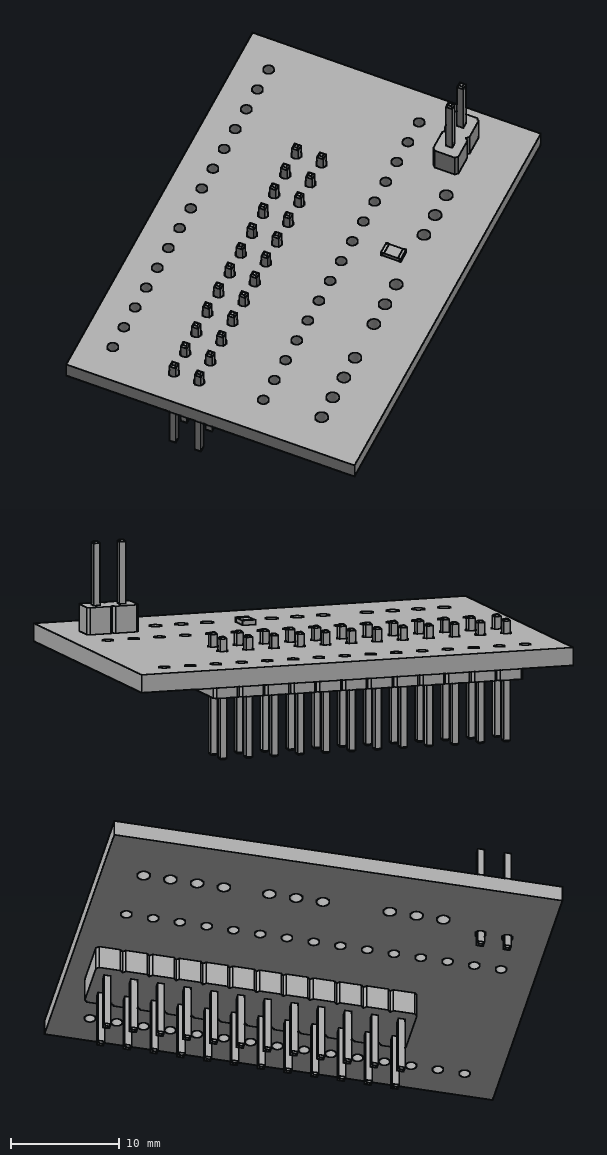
import cadquery as cq


PITCH = 2.54

BOARD_LENGTH_X = 29.21
BOARD_LENGTH_Y = 42.55
BOARD_THICKNESS = 1.70
CORNER_CUT_X = 0.635
CORNER_CUT_Y = 0.02

PIN_WIDTH = 0.64
PIN_LENGTH = 11.54
PIN_STANDOFF = 8.54
PIN_TIP_CHAMFER = PIN_WIDTH / 4
HEADER_BODY_HEIGHT = PITCH
HEADER_BODY_CHAMFER = PITCH / 10
HEADER_HOLE_DIAMETER = 1.00

LOWER_HEADER_COLUMNS = 2
LOWER_HEADER_ROWS = 12
LOWER_HEADER_X = 9.525
LOWER_HEADER_Y = 3.175

UPPER_HEADER_COLUMNS = 1
UPPER_HEADER_ROWS = 2
UPPER_HEADER_X = 22.86
UPPER_HEADER_Y = 36.195

MODULE_HOLE_DIAMETER = 1.02
MODULE_HOLE_COUNT = 15
MODULE_ROW_X = 3.13
MODULE_ROW_SPACING = 6 * PITCH
MODULE_ROW_Y = 3.61

CONNECTOR_HOLE_DIAMETER = 1.20
CONNECTOR_X = 24.13
CONNECTOR_GROUPS = [(3.94, 4), (15.875, 3), (27.305, 3)]

CHIP_LENGTH = 2.00
CHIP_WIDTH = 1.25
CHIP_HEIGHT = 0.45
CHIP_END_CAP_LENGTH = 0.15
CHIP_TOP_PAD_LENGTH = 0.30
CHIP_BODY_INSET = 0.03
CHIP_X = 22.46
CHIP_Y = 24.13


def grid_points(first_x, first_y, columns, rows):
    """Points one pitch apart, starting from the lowest X and Y."""
    return [
        (first_x + column * PITCH, first_y + row * PITCH)
        for column in range(columns)
        for row in range(rows)
    ]


LOWER_PINS = grid_points(LOWER_HEADER_X, LOWER_HEADER_Y, LOWER_HEADER_COLUMNS, LOWER_HEADER_ROWS)
UPPER_PINS = grid_points(UPPER_HEADER_X, UPPER_HEADER_Y, UPPER_HEADER_COLUMNS, UPPER_HEADER_ROWS)


def drill(board, points, diameter):
    holes = cq.Workplane("XY").pushPoints(points).circle(diameter / 2).extrude(BOARD_THICKNESS)
    return board.cut(holes)


def make_board():
    outline = [
        (0, 0),
        (BOARD_LENGTH_X - CORNER_CUT_X, 0),
        (BOARD_LENGTH_X, CORNER_CUT_Y),
        (BOARD_LENGTH_X, BOARD_LENGTH_Y),
        (0, BOARD_LENGTH_Y),
    ]
    board = cq.Workplane("XY").polyline(outline).close().extrude(BOARD_THICKNESS)

    board = drill(board, LOWER_PINS + UPPER_PINS, HEADER_HOLE_DIAMETER)
    for row_x in (MODULE_ROW_X, MODULE_ROW_X + MODULE_ROW_SPACING):
        row = grid_points(row_x, MODULE_ROW_Y, 1, MODULE_HOLE_COUNT)
        board = drill(board, row, MODULE_HOLE_DIAMETER)
    for group_y, count in CONNECTOR_GROUPS:
        board = drill(board, grid_points(CONNECTOR_X, group_y, 1, count), CONNECTOR_HOLE_DIAMETER)
    return board


def make_header(pins, columns, body_bottom, pin_bottom):
    """Plastic body of chamfered segments, one per row, with its pins fixed in it."""
    center_x = sum(x for x, _ in pins) / len(pins)
    row_places = sorted({y for _, y in pins})
    header = cq.Workplane("XY")
    for row_y in row_places:
        segment = (
            cq.Workplane("XY", origin=(center_x, row_y, body_bottom))
            .rect(columns * PITCH, PITCH)
            .extrude(HEADER_BODY_HEIGHT)
            .edges("|Z")
            .chamfer(HEADER_BODY_CHAMFER)
        )
        header = header.add(segment)
    header = header.combine()
    for x, y in pins:
        pin = (
            cq.Workplane("XY", origin=(x, y, pin_bottom))
            .rect(PIN_WIDTH, PIN_WIDTH)
            .extrude(PIN_LENGTH)
            .faces("<Z or >Z")
            .chamfer(PIN_TIP_CHAMFER)
        )
        header = header.union(pin)
    return header


def end_blocks(seat, length, width):
    """Two full-height blocks at the ends of the chip."""
    offset = (CHIP_LENGTH - length) / 2
    return seat.pushPoints([(-offset, 0), (offset, 0)]).rect(length, width).extrude(CHIP_HEIGHT)


def make_chip_resistor():
    seat = cq.Workplane("XY", origin=(CHIP_X, CHIP_Y, BOARD_THICKNESS))
    body_width = CHIP_WIDTH - 2 * CHIP_BODY_INSET
    body = seat.rect(CHIP_LENGTH, body_width).extrude(CHIP_HEIGHT - CHIP_BODY_INSET)
    top_pads = end_blocks(seat, CHIP_TOP_PAD_LENGTH, body_width)
    end_caps = end_blocks(seat, CHIP_END_CAP_LENGTH, CHIP_WIDTH)
    return body.union(top_pads).union(end_caps)


board = make_board()

lower_header = make_header(
    LOWER_PINS,
    LOWER_HEADER_COLUMNS,
    body_bottom=-HEADER_BODY_HEIGHT,
    pin_bottom=-PIN_STANDOFF,
)

upper_header = make_header(
    UPPER_PINS,
    UPPER_HEADER_COLUMNS,
    body_bottom=BOARD_THICKNESS,
    pin_bottom=BOARD_THICKNESS + PIN_STANDOFF - PIN_LENGTH,
)

chip_resistor = make_chip_resistor()

result = cq.Compound.makeCompound(
    [board.val(), lower_header.val(), upper_header.val(), chip_resistor.val()]
)